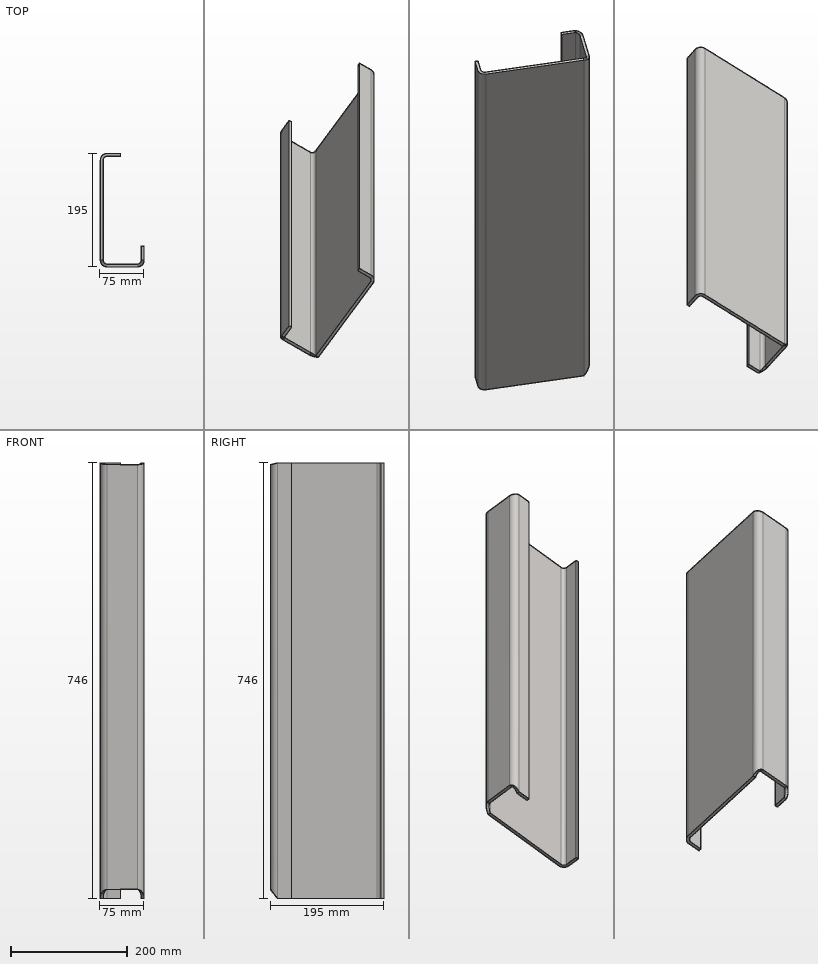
import cadquery as cq
import math

width = 75.0
depth = 195.0
length = 746.0

wall = 5.0
bend_radius = 12.0
inner_radius = bend_radius - wall

rear_flange = 35.0
lip = 36.0

bottom_setback = 16.0
top_setback = 3.0

overrun = 1.5

bend_steps = 8


def folded_channel():
    """Web at X = 0 with a short rear flange, a full front flange and a lip."""
    tube = (
        cq.Workplane("XY")
        .rect(width, depth, centered=False)
        .extrude(length)
        .edges("|Z")
        .fillet(bend_radius)
    )
    cavity = (
        cq.Workplane("XY")
        .moveTo(wall, wall)
        .rect(width - 2 * wall, depth - 2 * wall, centered=False)
        .extrude(length)
        .edges("|Z")
        .fillet(inner_radius)
    )
    opening = (
        cq.Workplane("XY")
        .moveTo(rear_flange, lip)
        .rect(width - rear_flange, depth - lip, centered=False)
        .extrude(length)
    )
    return tube.cut(cavity).cut(opening)


def bend_relief(setback):
    """Tool for the left front bend, fading from the setback at the flange to nothing at the web.

    The sheet edge stays square to the sheet: each section lies in a plane through the bend axis.
    """
    near_radius = inner_radius - overrun
    far_radius = bend_radius + overrun
    sections = []
    for step in range(bend_steps + 1):
        angle = math.pi / 2 * step / bend_steps
        out_x = -math.sin(angle)
        out_y = -math.cos(angle)
        height = setback * math.cos(angle)
        corners = [
            cq.Vector(bend_radius + radius * out_x, bend_radius + radius * out_y, z)
            for radius, z in (
                (near_radius, -overrun),
                (far_radius, -overrun),
                (far_radius, height),
                (near_radius, height),
            )
        ]
        sections.append(cq.Wire.makePolygon(corners, close=True))
    return cq.Workplane(cq.Solid.makeLoft(sections, True))


def flange_relief(setback):
    """Tool that shortens the front flange and both of its bends at the Z = 0 end."""
    flat = (
        cq.Workplane("XY", origin=(bend_radius, -overrun, -overrun))
        .rect(width - 2 * bend_radius, wall + 2 * overrun, centered=False)
        .extrude(setback + overrun)
    )
    left_bend = bend_relief(setback)
    right_bend = left_bend.mirror("YZ", (width / 2, 0, 0))
    return flat.union(left_bend).union(right_bend)


bottom_relief = flange_relief(bottom_setback)
top_relief = flange_relief(top_setback).mirror("XY", (0, 0, length / 2))

result = folded_channel().cut(bottom_relief).cut(top_relief)